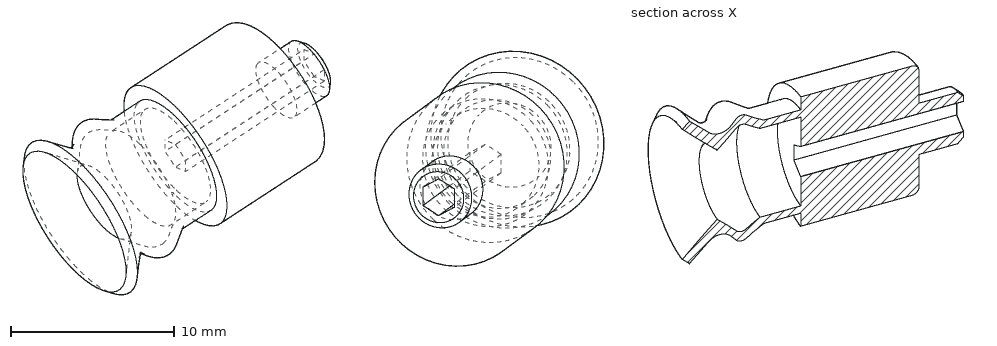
import cadquery as cq
import math

total_length = 19.0

pin_length = 3.0
pin_radius = 3.99 / 2
pin_chamfer = 0.4
body_length = 8.0
body_radius = 10.0 / 2
body_fillet = 0.5
sleeve_radius = 8.0 / 2

lip_radius = 11.0 / 2
lip_bevel = 0.5
neck_radius = 3.91
neck_y = 2.53
neck_fillet = 1.0
bead_radius = 4.86
bead_y = 4.03
bead_fillet = 0.5
shoulder_fillet = 0.45
flank_angle = math.radians(45)
shoulder_angle = math.radians(33)

throat_radius = 2.65
bore_radius = 3.4
bore_depth = 8.0
hex_flats = 2.0
hex_sides = 6

body_end = total_length - pin_length
body_start = body_end - body_length


def arc_point(radius, y, size, angle):
    """Point on a profile arc centred at (radius, y); angle 0 points away from the axis."""
    return (radius + size * math.cos(angle), y + size * math.sin(angle))


def revolve_profile(profile):
    return profile.close().revolve(360, (0, 0, 0), (0, 1, 0))


def make_outside():
    neck_center = neck_radius + neck_fillet
    neck_front = arc_point(neck_center, neck_y, neck_fillet, math.pi + flank_angle)
    neck_rear = arc_point(neck_center, neck_y, neck_fillet, math.pi - flank_angle)

    bead_center = bead_radius - bead_fillet
    bead_front = arc_point(bead_center, bead_y, bead_fillet, -flank_angle)
    bead_rear = arc_point(bead_center, bead_y, bead_fillet, shoulder_angle)

    shoulder_corner_y = bead_rear[1] + (bead_rear[0] - sleeve_radius) / math.tan(shoulder_angle)
    shoulder_end_y = shoulder_corner_y + shoulder_fillet * math.tan(shoulder_angle / 2)
    shoulder_center = sleeve_radius + shoulder_fillet
    shoulder_start = arc_point(shoulder_center, shoulder_end_y, shoulder_fillet, math.pi + shoulder_angle)
    shoulder_middle = arc_point(shoulder_center, shoulder_end_y, shoulder_fillet, math.pi + shoulder_angle / 2)

    body_round_middle = arc_point(
        body_radius - body_fillet, body_end - body_fillet, body_fillet, math.pi / 4
    )
    return revolve_profile(
        cq.Workplane("XY")
        .moveTo(0, 0)
        .lineTo(lip_radius - lip_bevel, 0)
        .lineTo(lip_radius, lip_bevel)
        .lineTo(*neck_front)
        .threePointArc((neck_radius, neck_y), neck_rear)
        .lineTo(*bead_front)
        .threePointArc((bead_radius, bead_y), bead_rear)
        .lineTo(*shoulder_start)
        .threePointArc(shoulder_middle, (sleeve_radius, shoulder_end_y))
        .lineTo(sleeve_radius, body_start)
        .lineTo(body_radius, body_start)
        .lineTo(body_radius, body_end - body_fillet)
        .threePointArc(body_round_middle, (body_radius - body_fillet, body_end))
        .lineTo(pin_radius, body_end)
        .lineTo(pin_radius, total_length - pin_chamfer)
        .lineTo(pin_radius - pin_chamfer, total_length)
        .lineTo(0, total_length)
    )


def make_cavity():
    """Conical mouth, rounded chamber inside the bead, and a flat-bottomed bore."""
    mouth_radius = lip_radius - lip_bevel
    mouth_depth = (mouth_radius - throat_radius) / math.tan(flank_angle)
    chamber_front_y = bead_y - bead_fillet * math.sin(flank_angle)
    chamber_front_radius = throat_radius + (chamber_front_y - mouth_depth) * math.tan(flank_angle)
    chamber_center = chamber_front_radius - bead_fillet * math.cos(flank_angle)
    chamber_rear = arc_point(chamber_center, bead_y, bead_fillet, shoulder_angle)
    bore_start = chamber_rear[1] + (chamber_rear[0] - bore_radius) / math.tan(shoulder_angle)
    return revolve_profile(
        cq.Workplane("XY")
        .moveTo(0, 0)
        .lineTo(mouth_radius, 0)
        .lineTo(throat_radius, mouth_depth)
        .lineTo(chamber_front_radius, chamber_front_y)
        .threePointArc((chamber_center + bead_fillet, bead_y), chamber_rear)
        .lineTo(bore_radius, bore_start)
        .lineTo(bore_radius, bore_depth)
        .lineTo(0, bore_depth)
    )


def make_hex_passage():
    """Through hexagon with two corners on the Z axis."""
    corner_diameter = hex_flats / math.cos(math.pi / hex_sides)
    return (
        cq.Workplane("XZ")
        .transformed(rotate=(0, 0, 90))
        .polygon(hex_sides, corner_diameter)
        .extrude(-total_length)
    )


result = make_outside().cut(make_cavity()).cut(make_hex_passage())